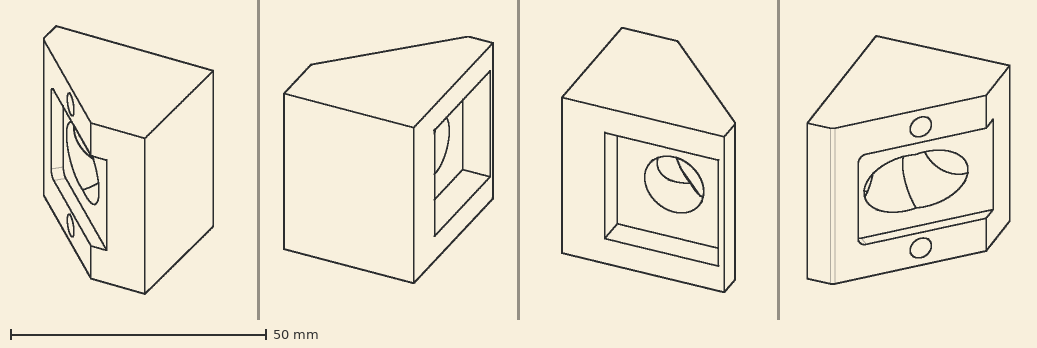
import cadquery as cq
import math

LENGTH_X = 35.0
DEPTH_Y = 28.4
HEIGHT_Z = 36.0

CORNER_CUT = 23.0
EDGE_FILLET = 1.2

RECESS_START_X = 3.85
RECESS_HEIGHT = 20.85
RECESS_DEPTH = 2.5
RECESS_CORNER_RADIUS = 1.65

BORE_DIAMETER = 12.7
BORE_AXIS_X = 13.55
BORE_AXIS_Y = 10.1
BLIND_BORE_END_X = 29.65
DRILL_POINT_ANGLE = 118.0

BACK_POCKET_SIZE = 24.48
BACK_POCKET_DEPTH = 6.0

SCREW_HOLE_DIAMETER = 4.5
SCREW_HOLE_DEPTH = 10.0
SCREW_HOLE_SPACING = 28.0

MID_Z = HEIGHT_Z / 2
BORE_RADIUS = BORE_DIAMETER / 2

SCREW_HOLE_X = (CORNER_CUT + BORE_AXIS_X - BORE_AXIS_Y) / 2

slope_plane = cq.Plane(
    origin=(SCREW_HOLE_X, CORNER_CUT - SCREW_HOLE_X, MID_Z),
    xDir=(1, -1, 0),
    normal=(-1, -1, 0),
)


def make_body():
    outline = [
        (CORNER_CUT, 0),
        (LENGTH_X, 0),
        (LENGTH_X, DEPTH_Y),
        (0, DEPTH_Y),
        (0, CORNER_CUT),
    ]
    body = cq.Workplane("XY").polyline(outline).close().extrude(HEIGHT_Z)
    return body.edges(cq.selectors.NearestToPointSelector((0, CORNER_CUT, MID_Z))).fillet(EDGE_FILLET)


def make_recess():
    start = (RECESS_START_X - SCREW_HOLE_X) * math.sqrt(2)
    length = LENGTH_X
    recess = (
        cq.Workplane(slope_plane)
        .center(start + length / 2, 0)
        .rect(length, RECESS_HEIGHT)
        .extrude(-RECESS_DEPTH)
    )
    inner_end = cq.Workplane(slope_plane).center(start, 0)
    for side in (-1, 1):
        corner = inner_end.plane.toWorldCoords((0, side * RECESS_HEIGHT / 2, -RECESS_DEPTH / 2))
        recess = recess.edges(cq.selectors.NearestToPointSelector(corner.toTuple())).fillet(
            RECESS_CORNER_RADIUS
        )
    return recess


def make_through_bore():
    """Bore along Y, from the sloping face out through the back."""
    return cq.Workplane("XZ").center(BORE_AXIS_X, MID_Z).circle(BORE_RADIUS).extrude(-DEPTH_Y)


def make_back_pocket():
    return (
        cq.Workplane("XZ", origin=(BORE_AXIS_X, DEPTH_Y, MID_Z))
        .rect(BACK_POCKET_SIZE, BACK_POCKET_SIZE)
        .extrude(BACK_POCKET_DEPTH)
    )


def make_blind_bore():
    """Bore along X from the sloping face, ending in a conical drill point."""
    point_length = BORE_RADIUS / math.tan(math.radians(DRILL_POINT_ANGLE / 2))
    profile = [
        (0, BORE_AXIS_Y),
        (0, BORE_AXIS_Y + BORE_RADIUS),
        (BLIND_BORE_END_X, BORE_AXIS_Y + BORE_RADIUS),
        (BLIND_BORE_END_X + point_length, BORE_AXIS_Y),
    ]
    return (
        cq.Workplane("XY", origin=(0, 0, MID_Z))
        .polyline(profile)
        .close()
        .revolve(360, (0, BORE_AXIS_Y), (1, BORE_AXIS_Y))
    )


def make_screw_holes():
    return (
        cq.Workplane(slope_plane)
        .rarray(0.35, SCREW_HOLE_SPACING, 1, 2)
        .circle(SCREW_HOLE_DIAMETER / 2)
        .extrude(-SCREW_HOLE_DEPTH)
    )


result = (
    make_body()
    .cut(make_recess())
    .cut(make_through_bore())
    .cut(make_back_pocket())
    .cut(make_blind_bore())
    .cut(make_screw_holes())
)